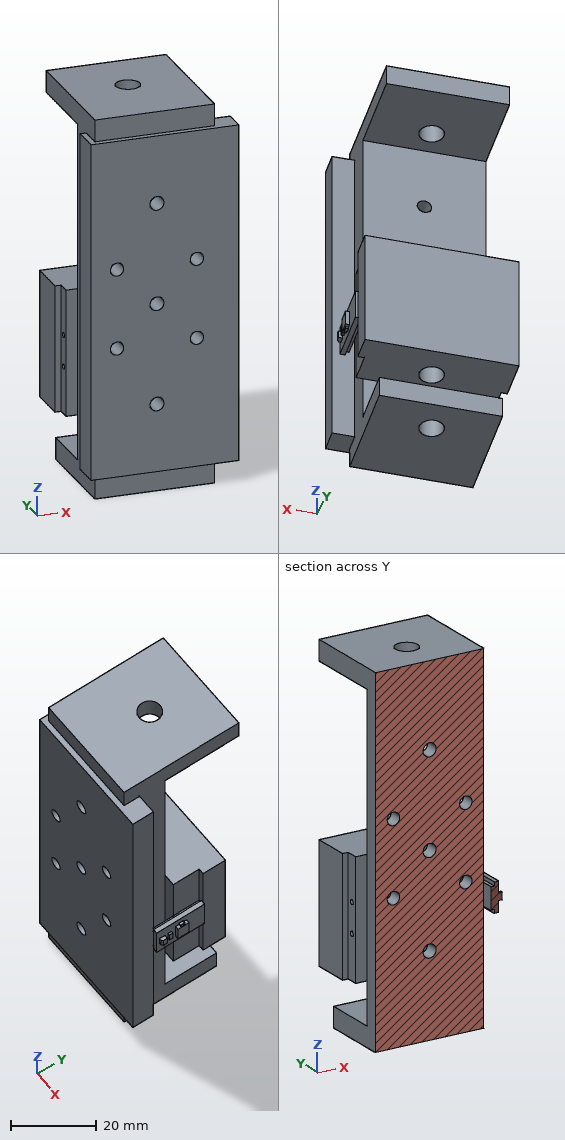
import cadquery as cq


FRAME_WIDTH = 30.0
FRAME_HEIGHT = 96.0
FLANGE_THICKNESS = 5.5
FRAME_FRONT = 1.5
WALL_BACK = 13.5
TOP_FLANGE_BACK = 35.0
BOTTOM_FLANGE_BACK = 28.5

BORE_DIAMETER = 6.0
BORE_Y = 20.0

PLATE_THICKNESS = 6.0
PLATE_RIGHT = 20.5
LIP = 1.5
PLATE_LEFT = -FRAME_WIDTH / 2 - LIP
PLATE_HEIGHT = FRAME_HEIGHT - 2 * FLANGE_THICKNESS

SQUARE_HOLE_DIAMETER = 3.3
COLUMN_HOLE_DIAMETER = 3.45
MOUNT_SQUARE_HALF = 10.0
MOUNT_COLUMN_REACH = 25.4

MOTOR_LEFT = -19.01
MOTOR_RIGHT = 18.5
MOTOR_FRONT = 14.5
MOTOR_BACK = 28.5
MOTOR_HEIGHT = 32.0
MOTOR_CENTER_Z = 32.4
LEFT_STEP_X = -17.5
LEFT_STEP_Y = 17.9

BOARD_FRONT = 8.0
BOARD_BACK = 22.0
BACKING_LEFT = 16.9
BACKING_THICKNESS = 0.95
BACKING_HEIGHT = 6.0
BOARD_THICKNESS = 1.25
BOARD_HEIGHT = 8.0
BOARD_LEFT = BACKING_LEFT + BACKING_THICKNESS
BOARD_RIGHT = BOARD_LEFT + BOARD_THICKNESS

CONNECTOR_HEIGHT = 4.0
CONNECTOR_LENGTH = 3.2
CONNECTOR_Y = 15.1
CONNECTOR_DEPTH = 1.0
LATCH_LENGTH = 1.25
LATCH_DEPTH = 0.7
LATCH_RISE = 1.0
CAPACITOR_LENGTH = 1.0
CAPACITOR_DEPTH = 0.6
CAPACITOR_Y = 11.8
CHIP_LENGTH = 1.6
CHIP_DEPTH = 1.0
CHIP_Y = 9.6
CHIP_CHAMFER = 0.45
COMPONENT_HEIGHT = 2.0

SCREW_HOLE_DIAMETER = 1.25
SCREW_HOLE_DEPTH = 3.0
SCREW_TIP_DEPTH = 0.36
SCREW_HOLE_PITCH = 8.0


def block(x_range, y_range, z_range):
    """Box given by its limits along each axis."""
    (x0, x1), (y0, y1), (z0, z1) = x_range, y_range, z_range
    return cq.Workplane("XY").box(x1 - x0, y1 - y0, z1 - z0, centered=False).translate((x0, y0, z0))


def span(center, length):
    """Limits of a length centred on a place."""
    return (center - length / 2, center + length / 2)


def shaft_bore():
    return cq.Workplane("XY").center(0, BORE_Y).circle(BORE_DIAMETER / 2).extrude(FRAME_HEIGHT)


def holes_through_wall(places, diameter):
    """Cylinders along Y from the plate's front to the wall's back, placed about mid-height."""
    start = cq.Workplane("XZ", origin=(0, 0, FRAME_HEIGHT / 2))
    return start.pushPoints(places).circle(diameter / 2).extrude(-WALL_BACK)


def mounting_holes():
    half = MOUNT_SQUARE_HALF
    square = [(dx, dz) for dx in (-half, half) for dz in (-half, half)]
    column = [(0, dz) for dz in (-MOUNT_COLUMN_REACH, 0, MOUNT_COLUMN_REACH)]
    square_holes = holes_through_wall(square, SQUARE_HOLE_DIAMETER)
    return square_holes.add(holes_through_wall(column, COLUMN_HOLE_DIAMETER)).combine()


def make_frame():
    profile = [
        (FRAME_FRONT, 0),
        (BOTTOM_FLANGE_BACK, 0),
        (BOTTOM_FLANGE_BACK, FLANGE_THICKNESS),
        (WALL_BACK, FLANGE_THICKNESS),
        (WALL_BACK, FRAME_HEIGHT - FLANGE_THICKNESS),
        (TOP_FLANGE_BACK, FRAME_HEIGHT - FLANGE_THICKNESS),
        (TOP_FLANGE_BACK, FRAME_HEIGHT),
        (FRAME_FRONT, FRAME_HEIGHT),
        (FRAME_FRONT, FRAME_HEIGHT - FLANGE_THICKNESS),
        (PLATE_THICKNESS, FRAME_HEIGHT - FLANGE_THICKNESS),
        (PLATE_THICKNESS, FLANGE_THICKNESS),
        (FRAME_FRONT, FLANGE_THICKNESS),
    ]
    body = cq.Workplane("YZ").polyline(profile).close().extrude(FRAME_WIDTH / 2, both=True)
    return body.cut(shaft_bore()).cut(mounting_holes())


def make_plate():
    profile = [
        (PLATE_LEFT, 0),
        (PLATE_RIGHT, 0),
        (PLATE_RIGHT, PLATE_THICKNESS),
        (PLATE_LEFT + LIP, PLATE_THICKNESS),
        (PLATE_LEFT + LIP, PLATE_THICKNESS + LIP),
        (PLATE_LEFT, PLATE_THICKNESS + LIP),
    ]
    body = cq.Workplane("XY", origin=(0, 0, FLANGE_THICKNESS)).polyline(profile).close()
    return body.extrude(PLATE_HEIGHT).cut(mounting_holes())


def screw_hole(z):
    """Drilled hole along +X from the lower left face, ending in a conical tip."""
    radius = SCREW_HOLE_DIAMETER / 2
    outline = [
        (0, 0),
        (0, radius),
        (SCREW_HOLE_DEPTH, radius),
        (SCREW_HOLE_DEPTH + SCREW_TIP_DEPTH, 0),
    ]
    hole = cq.Workplane("XY").polyline(outline).close().revolve(360, (0, 0, 0), (1, 0, 0))
    return hole.translate((LEFT_STEP_X, (MOTOR_FRONT + LEFT_STEP_Y) / 2, z))


def motor_block():
    profile = [
        (LEFT_STEP_X, MOTOR_FRONT),
        (BACKING_LEFT, MOTOR_FRONT),
        (BACKING_LEFT, BOARD_BACK),
        (MOTOR_RIGHT, BOARD_BACK),
        (MOTOR_RIGHT, MOTOR_BACK),
        (MOTOR_LEFT, MOTOR_BACK),
        (MOTOR_LEFT, LEFT_STEP_Y),
        (LEFT_STEP_X, LEFT_STEP_Y),
    ]
    bottom = MOTOR_CENTER_Z - MOTOR_HEIGHT / 2
    body = cq.Workplane("XY", origin=(0, 0, bottom)).polyline(profile).close().extrude(MOTOR_HEIGHT)
    body = body.cut(shaft_bore())
    for z in span(MOTOR_CENTER_Z, SCREW_HOLE_PITCH):
        body = body.cut(screw_hole(z))
    return body


def component(depth, y, length, height):
    """Small box standing on the board's outer face."""
    return block((BOARD_RIGHT, BOARD_RIGHT + depth), span(y, length), span(MOTOR_CENTER_Z, height))


def circuit_board():
    depth = (BOARD_FRONT, BOARD_BACK)
    backing = block((BACKING_LEFT, BOARD_LEFT), depth, span(MOTOR_CENTER_Z, BACKING_HEIGHT))
    board = block((BOARD_LEFT, BOARD_RIGHT), depth, span(MOTOR_CENTER_Z, BOARD_HEIGHT))
    connector = component(CONNECTOR_DEPTH, CONNECTOR_Y, CONNECTOR_LENGTH, CONNECTOR_HEIGHT)
    latch = component(LATCH_DEPTH, CONNECTOR_Y, LATCH_LENGTH, CONNECTOR_HEIGHT + LATCH_RISE)
    capacitor = component(CAPACITOR_DEPTH, CAPACITOR_Y, CAPACITOR_LENGTH, COMPONENT_HEIGHT)
    chip = component(CHIP_DEPTH, CHIP_Y, CHIP_LENGTH, COMPONENT_HEIGHT)
    chip = chip.edges(">X and <Y").chamfer(CHIP_CHAMFER)
    assembly = backing.union(board)
    for item in (connector, latch, capacitor, chip):
        assembly = assembly.union(item)
    return assembly


def make_motor():
    return motor_block().union(circuit_board())


frame = make_frame()
plate = make_plate()
motor = make_motor()

result = cq.Compound.makeCompound([frame.val(), plate.val(), motor.val()])